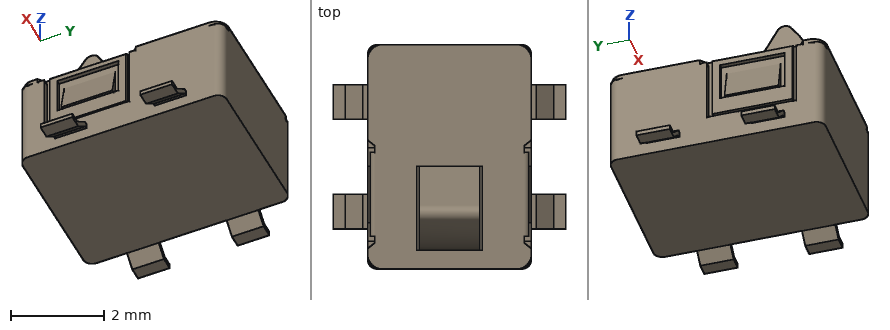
import cadquery as cq
import math


body_width = 3.515
body_length = 4.82
body_height = 2.3
body_corner_radius = 0.21
cover_thickness = 0.1
cover_corner_radius = 0.315
cover_bottom = body_height - cover_thickness

side_center_y = -0.805
recess_half_length = 1.005
recess_bottom = 0.695
tongue_half_length = 0.9
tongue_bottom = 0.8
tongue_inset = 0.055
recess_depth = tongue_inset + cover_thickness
recess_floor_x = body_width / 2 - recess_depth

notch_inner_half_length = 1.04
notch_outer_half_length = 1.165

window_half_length = 0.725
window_bottom = 1.195
window_top = 2.1
latch_half_length = 0.605
latch_top = 1.91

actuator_width = 1.305
actuator_top = 3.71
tip_radius = 0.18
tip_y = -1.205
slope_angle = math.radians(60)
front_arc_radius = 2.95
opening_width = 1.405
opening_back_y = -0.2
opening_front_y = -2.0

overall_width = 5.0
leg_width = 0.75
leg_thickness = 0.105
leg_pitch = 2.355
leg_bottom = -0.055
leg_top = 0.4
leg_shoulder_length = 0.1
foot_length = 0.26


def box(x0, x1, y0, y1, z0, z1):
    """Axis-aligned box between the given limits."""
    return cq.Workplane("XY").box(x1 - x0, y1 - y0, z1 - z0, centered=False).translate((x0, y0, z0))


def rounded_slab(height, radius, bottom):
    """Block with the housing outline and rounded vertical corners."""
    slab = cq.Workplane("XY").box(body_width, body_length, height, centered=(True, True, False))
    return slab.edges("|Z").fillet(radius).translate((0, 0, bottom))


def on_both_sides(shape):
    """The +X shape together with its mirror image on the -X side."""
    return shape.union(shape.mirror("YZ"))


def side_recess():
    return box(
        recess_floor_x, body_width / 2,
        side_center_y - recess_half_length, side_center_y + recess_half_length,
        recess_bottom, body_height,
    )


def cover_notch():
    """Cut through the cover only, widening towards the outside."""
    edge_x = body_width / 2
    return (
        cq.Workplane("XY", origin=(0, side_center_y, cover_bottom))
        .polyline([
            (recess_floor_x, -notch_inner_half_length),
            (edge_x, -notch_outer_half_length),
            (edge_x, notch_outer_half_length),
            (recess_floor_x, notch_inner_half_length),
        ])
        .close()
        .extrude(cover_thickness)
    )


def tongue():
    """Bent cover tongue, with its bend radius along the top and a window through it."""
    outer_x = body_width / 2 - tongue_inset
    blade = (
        cq.Workplane("XZ", origin=(0, side_center_y, 0))
        .moveTo(recess_floor_x, tongue_bottom)
        .lineTo(outer_x, tongue_bottom)
        .lineTo(outer_x, cover_bottom)
        .radiusArc((recess_floor_x, body_height), -cover_thickness)
        .close()
        .extrude(tongue_half_length, both=True)
    )
    window = box(
        recess_floor_x, outer_x,
        side_center_y - window_half_length, side_center_y + window_half_length,
        window_bottom, window_top,
    )
    return blade.cut(window)


def latch():
    """Wedge rising from the recess floor to the side face at its lower edge."""
    return (
        cq.Workplane("XZ", origin=(0, side_center_y, 0))
        .polyline([
            (recess_floor_x, window_bottom),
            (body_width / 2, window_bottom),
            (recess_floor_x, latch_top),
        ])
        .close()
        .extrude(latch_half_length, both=True)
    )


def leg(center_y):
    """Gull-wing leg on the +X side; the inner faces of the bends follow the sheet thickness."""
    shoulder_x = body_width / 2 + leg_shoulder_length
    foot_x = overall_width / 2 - foot_length
    foot_top = leg_bottom + leg_thickness
    bend_angle = math.atan2(leg_top - foot_top, foot_x - shoulder_x)
    bend_offset = leg_thickness * math.tan(bend_angle / 2)
    return (
        cq.Workplane("XZ", origin=(0, center_y, 0))
        .polyline([
            (recess_floor_x, leg_top),
            (shoulder_x, leg_top),
            (foot_x, foot_top),
            (overall_width / 2, foot_top),
            (overall_width / 2, leg_bottom),
            (foot_x - bend_offset, leg_bottom),
            (shoulder_x - bend_offset, leg_top - leg_thickness),
            (recess_floor_x, leg_top - leg_thickness),
        ])
        .close()
        .extrude(leg_width / 2, both=True)
    )


tip_z = actuator_top - tip_radius
arc_center_y = opening_front_y + front_arc_radius
arc_tip_angle = math.acos((arc_center_y - tip_y) / (front_arc_radius - tip_radius))
arc_center_z = tip_z - (front_arc_radius - tip_radius) * math.sin(arc_tip_angle)


def front_arc_point(angle):
    """Point on the front arc, with the angle measured up from -Y."""
    return (
        arc_center_y - front_arc_radius * math.cos(angle),
        arc_center_z + front_arc_radius * math.sin(angle),
    )


def actuator():
    slope_start_y = tip_y + tip_radius * math.sin(slope_angle)
    slope_start_z = tip_z + tip_radius * math.cos(slope_angle)
    slope_end_z = slope_start_z - (opening_back_y - slope_start_y) * math.tan(slope_angle)
    return (
        cq.Workplane("YZ")
        .moveTo(opening_back_y, arc_center_z)
        .lineTo(opening_back_y, slope_end_z)
        .lineTo(slope_start_y, slope_start_z)
        .threePointArc((tip_y, actuator_top), front_arc_point(arc_tip_angle))
        .threePointArc(front_arc_point(arc_tip_angle / 2), front_arc_point(0))
        .close()
        .extrude(actuator_width / 2, both=True)
    )


def opening():
    """Pocket around the actuator, as deep as the end of its front arc."""
    return box(
        -opening_width / 2, opening_width / 2,
        opening_front_y, opening_back_y,
        arc_center_z, body_height,
    )


housing = rounded_slab(cover_bottom, body_corner_radius, 0)
cover = rounded_slab(cover_thickness, cover_corner_radius, cover_bottom)
result = housing.union(cover)

result = result.cut(on_both_sides(side_recess()))
result = result.cut(on_both_sides(cover_notch()))
result = result.union(on_both_sides(tongue()))
result = result.union(on_both_sides(latch()))
result = result.cut(opening()).union(actuator())
for center_y in (-leg_pitch / 2, leg_pitch / 2):
    result = result.union(on_both_sides(leg(center_y)))